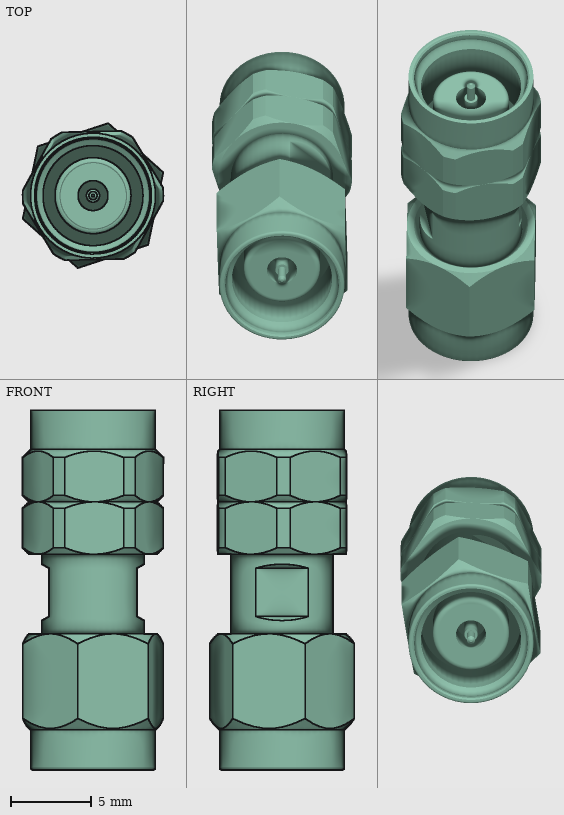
import cadquery as cq
import math

total_length = 22.46
lower_sleeve_length = 2.5
upper_sleeve_length = 2.45
lower_hex_length = 6.0
upper_hex_length = 3.27
upper_hex_count = 2

hex_sides = 6
hex_across_flats = 8.0
hex_flat_radius = hex_across_flats / 2
sleeve_radius = 3.9
thread_bore_radius = 3.125
mouth_radius = 3.55
mouth_chamfer = 0.1
mouth_depth = 0.5
lower_sleeve_fillet = 0.15
lower_collar_radius = 3.55
upper_rounding_radius = 4.4
lower_bevel_reach = 5.0
upper_hex_angle = 1.2
lower_hex_angle = 18.2

barrel_radius = 3.2
wrench_across_flats = 5.5
wrench_flat_length = 3.0
wrench_flat_centre = 11.09
wrench_slope_angle = 30
cutter_clearance = 1.0
plug_radius = 2.375
plug_fillet = 0.3
plug_recess = 2.0
air_hole_radius = 0.935
floor_depth = 4.5
pin_radius = 0.41
pin_tip_radius = 0.255
pin_tip_recess = 0.7
pin_tip_chamfer = 0.17

middle = total_length / 2
upper_floor = total_length - floor_depth


def cylinder(radius, bottom, top):
    return cq.Workplane("XY").workplane(offset=bottom).circle(radius).extrude(top - bottom)


def revolve(points):
    """Turn an outline of (radius, height) points about the Z axis."""
    return cq.Workplane("XZ").polyline(points).close().revolve(360, (0, 0), (0, 1))


def mirror_to_lower_end(solid):
    return solid.mirror("XY", (0, 0, middle))


def bevelled_hex(bottom, top, bottom_radius, top_radius, reach, angle):
    """Hexagon with both ends bevelled at 45 degrees from the given end radii out to reach."""
    corner_diameter = 2 * hex_flat_radius / math.cos(math.pi / hex_sides)
    prism = (
        cq.Workplane("XY")
        .workplane(offset=bottom)
        .polygon(hex_sides, corner_diameter)
        .extrude(top - bottom)
        .rotate((0, 0, 0), (0, 0, 1), angle)
    )
    envelope = revolve([
        (0, bottom),
        (bottom_radius, bottom),
        (reach, bottom + reach - bottom_radius),
        (reach, top - reach + top_radius),
        (top_radius, top),
        (0, top),
    ])
    return prism.intersect(envelope)


def upper_mouth():
    """Threaded bore with its stepped countersunk mouth, as a cutting solid."""
    return revolve([
        (0, upper_floor),
        (thread_bore_radius, upper_floor),
        (thread_bore_radius, total_length - mouth_depth - (mouth_radius - thread_bore_radius)),
        (mouth_radius, total_length - mouth_depth),
        (mouth_radius, total_length - mouth_chamfer),
        (mouth_radius + mouth_chamfer, total_length),
        (0, total_length),
    ])


def build_upper_nut():
    sleeve_bottom = total_length - upper_sleeve_length
    nut_bottom = sleeve_bottom - upper_hex_count * upper_hex_length
    nut = cylinder(sleeve_radius, nut_bottom, total_length)
    for index in range(upper_hex_count):
        bottom = nut_bottom + index * upper_hex_length
        is_top_hex = index == upper_hex_count - 1
        top_radius = sleeve_radius if is_top_hex else hex_flat_radius
        nut = nut.union(bevelled_hex(
            bottom, bottom + upper_hex_length, hex_flat_radius, top_radius,
            upper_rounding_radius, upper_hex_angle,
        ))
    return nut.cut(upper_mouth()).cut(cylinder(barrel_radius, nut_bottom, upper_floor))


def build_lower_nut():
    nut_top = lower_sleeve_length + lower_hex_length
    sleeve = cylinder(sleeve_radius, 0, nut_top).faces("<Z").fillet(lower_sleeve_fillet)
    nut = sleeve.union(bevelled_hex(
        lower_sleeve_length, nut_top, sleeve_radius, hex_flat_radius,
        lower_bevel_reach, lower_hex_angle,
    ))
    collar = revolve([
        (0, floor_depth),
        (barrel_radius, floor_depth),
        (barrel_radius, nut_top - (lower_collar_radius - barrel_radius)),
        (lower_collar_radius, nut_top),
        (0, nut_top),
    ])
    return nut.cut(mirror_to_lower_end(upper_mouth())).cut(collar)


def upper_plug():
    """Outer contact ring around an air hole, with the stepped centre pin standing in it."""
    face = total_length - plug_recess
    pin_top = total_length - pin_tip_recess
    ring = cylinder(plug_radius, upper_floor, face).faces(">Z").edges().fillet(plug_fillet)
    ring = ring.cut(cylinder(air_hole_radius, upper_floor, face))
    pin = cylinder(pin_radius, upper_floor, face)
    tip = cylinder(pin_tip_radius, face, pin_top).faces(">Z").chamfer(pin_tip_chamfer)
    return ring, pin.union(tip)


def wrench_flat_cutter():
    """Cutter for the +X wrench flat, widening outwards at its sloped ends."""
    flat = wrench_across_flats / 2
    outer = barrel_radius + cutter_clearance
    half_length = wrench_flat_length / 2
    outer_half = half_length + (outer - flat) * math.tan(math.radians(wrench_slope_angle))
    return (
        cq.Workplane("XZ")
        .polyline([
            (flat, wrench_flat_centre - half_length),
            (outer, wrench_flat_centre - outer_half),
            (outer, wrench_flat_centre + outer_half),
            (flat, wrench_flat_centre + half_length),
        ])
        .close()
        .extrude(barrel_radius, both=True)
    )


def build_body():
    body = cylinder(barrel_radius, floor_depth, upper_floor)
    for piece in upper_plug():
        body = body.union(piece).union(mirror_to_lower_end(piece))
    flat = wrench_flat_cutter()
    return body.cut(flat).cut(flat.mirror("YZ"))


body = build_body()
upper_nut = build_upper_nut()
lower_nut = build_lower_nut()

result = cq.Compound.makeCompound([body.val(), upper_nut.val(), lower_nut.val()])